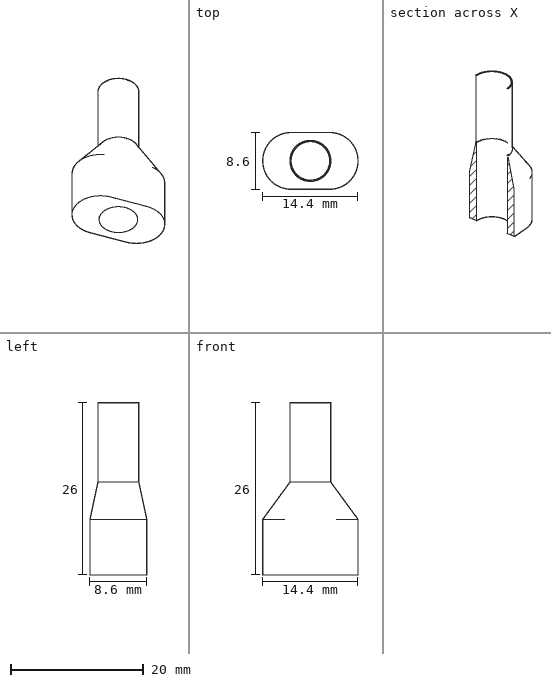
import cadquery as cq

collar_length = 14.4
collar_width = 8.6
total_height = 26.0

skirt_height = 8.4
shoulder_height = 5.6
collar_height = skirt_height + shoulder_height

tube_diameter = 6.2
bore_diameter = 5.8
tube_height = total_height - collar_height

end_radius = collar_width / 2
tube_radius = tube_diameter / 2
end_offset = (collar_length - collar_width) / 2


def half_disc(plane, center_x, radius, side):
    """Half disc bulging towards +X (side = 1) or -X (side = -1)."""
    return (
        plane.moveTo(center_x, -radius)
        .threePointArc((center_x + side * radius, 0), (center_x, radius))
        .close()
    )


def shoulder_end(side):
    """Half of an oblique cone, from a round end of the skirt up to half of the tube circle."""
    skirt_top = cq.Workplane("XY").workplane(offset=skirt_height)
    base = half_disc(skirt_top, side * end_offset, end_radius, side)
    tube_seat = base.workplane(offset=shoulder_height, origin=(0, 0, skirt_height))
    return half_disc(tube_seat, 0, tube_radius, side).loft(ruled=True)


def shoulder_wedge():
    """Wedge between the cone halves, whose sloping sides are the flat triangles of the shoulder."""
    triangle = (
        cq.Workplane("XZ")
        .polyline([(-end_offset, skirt_height), (end_offset, skirt_height), (0, collar_height)])
        .close()
        .extrude(end_radius, both=True)
    )
    trapezoid = (
        cq.Workplane("YZ")
        .polyline([
            (-end_radius, skirt_height),
            (end_radius, skirt_height),
            (tube_radius, collar_height),
            (-tube_radius, collar_height),
        ])
        .close()
        .extrude(end_offset, both=True)
    )
    return triangle.intersect(trapezoid)


def make_collar():
    """Insulating collar: oval skirt and tapered shoulder, bored through in line with the tube."""
    collar = cq.Workplane("XY").slot2D(collar_length, collar_width).extrude(skirt_height)
    collar = collar.union(shoulder_wedge())
    for side in (-1, 1):
        collar = collar.union(shoulder_end(side))
    bore = cq.Workplane("XY").circle(bore_diameter / 2).extrude(collar_height)
    return collar.cut(bore).solids()


def make_tube():
    """Thin metal tube, seated on the top rim of the collar."""
    return (
        cq.Workplane("XY", origin=(0, 0, collar_height))
        .circle(tube_radius)
        .circle(bore_diameter / 2)
        .extrude(tube_height)
    )


collar = make_collar()
tube = make_tube()
result = cq.Compound.makeCompound([collar.val(), tube.val()])